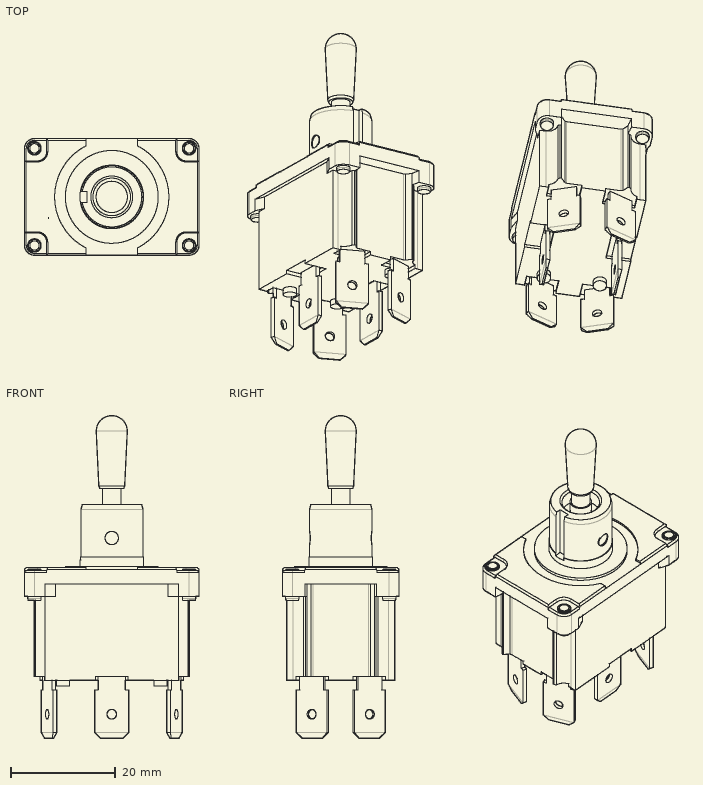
import cadquery as cq
import math


OVERALL_HEIGHT = 61.8

FLANGE_X = 33.5
FLANGE_Y = 22.4
FLANGE_CORNER_RADIUS = 2.0
FLANGE_THICKNESS = 3.15
FLANGE_CHAMFER = 0.37
CORNER_BLOCK_DEPTH = 5.55
BLOCK_FRONT_X = 12.75
BLOCK_FRONT_SLANT_X = 10.75
BLOCK_SIDE_Y = 6.8

CORNER_POCKET_SIZE = 4.5
CORNER_POCKET_RADIUS = 2.0
CORNER_POCKET_DEPTH = 0.55
CORNER_POCKET_TAPER = 20
RECESS_DIAMETER = 21.9
RECESS_STRIP_WIDTH = 9.85
RECESS_DEPTH = 0.37
WASHER_DIAMETER = 17.8
WASHER_TOP_Z = 0.2

RIVET_X = 14.8
RIVET_Y = 9.3
RIVET_DIAMETER = 2.6
RIVET_HEAD_Z = -0.3
RIVET_TIP_DIAMETER = 2.4
RIVET_DIMPLE_DIAMETER = 1.8
RIVET_DIMPLE_DEPTH = 0.22
RIVET_HEAD_BEVEL = 0.15
RIVET_RIM_Z = -CORNER_BLOCK_DEPTH - 0.4
RIVET_END_Z = RIVET_RIM_Z - 0.35

BODY_HALF_X = 14.85
BODY_HALF_Y = 10.35
BODY_BOTTOM_Z = -21.6
RIB_BOTTOM_Z = -20.9
CLEARANCE_X = 14.8
CLEARANCE_Y = 9.15
CLEARANCE_RADIUS = 2.05
RIB_BEVEL_X = 0.25
RIB_BEVEL_START_Y = 6.75
SIDE_RECESS_X = 13.85
SIDE_RECESS_BEVEL_X = 0.1
SIDE_RECESS_RIM_HALF_Y = 6.45
SIDE_RECESS_FOOT_HALF_Y = 5.65
SIDE_RECESS_FLOOR_HALF_Y = 5.3

BUSHING_BASE_DIAMETER = 12.2
BUSHING_DIAMETER = 12.0
BUSHING_BASE_Z = 2.05
BUSHING_TOP_Z = 12.1
BUSHING_CHAMFER_HEIGHT = 0.95
BUSHING_CHAMFER_WIDTH = 0.25
BORE_RIM_DIAMETER = 8.0
BORE_DIAMETER = 7.2
BORE_FLOOR_Z = 9.0
KEYWAY_WIDTH = 2.1
KEYWAY_FLOOR_X = -4.7
KEYWAY_BOTTOM_Z = 1.45
SIDE_HOLE_DIAMETER = 2.55
SIDE_HOLE_Z = 5.65
SIDE_HOLE_FLOOR_Y = 5.7

TIP_RADIUS = 3.0
LEVER_TOP_Z = 29.1
GRIP_BOTTOM_Z = 15.1
GRIP_BOTTOM_DIAMETER = 5.0
GRIP_BEVEL_HEIGHT = 0.5
GRIP_BEVEL_WIDTH = 0.2
NECK_DIAMETER = 3.6
LEVER_BASE_DIAMETER = 4.1
LEVER_BASE_Z = 11.85

TERMINAL_BOTTOM_Z = LEVER_TOP_Z - OVERALL_HEIGHT
TERMINAL_SHOULDER_Z = -23.45
TERMINAL_THICKNESS = 0.8
TERMINAL_CENTER_WIDTH = 6.6
TERMINAL_SIDE_WIDTH = 6.35
TERMINAL_NECK_INSET = 0.7
TERMINAL_TIP_HEIGHT = 1.1
TERMINAL_TIP_INSET = 1.1
TERMINAL_TIP_BEVEL = 0.25
TERMINAL_HOLE_DIAMETER = 1.8
TERMINAL_HOLE_Z = -28.1
TERMINAL_CENTER_Y = 7.0
TERMINAL_SIDE_X = 12.0
TERMINAL_SIDE_Y = 5.45
TERMINAL_SIDE_ANGLE = 21.0
NOTCH_WIDTH = 6.25
NOTCH_INNER_GAP = 1.5

FOOT_DIAMETER = 2.6
FOOT_X = 9.35
FOOT_Y = TERMINAL_SIDE_Y
FOOT_BOTTOM_Z = -22.7

QUADRANTS = [(sx, sy) for sx in (-1, 1) for sy in (-1, 1)]


def in_quadrant(shape, sign_x, sign_y):
    """Mirror a shape made for the +X +Y quadrant into another quadrant."""
    if sign_x < 0:
        shape = shape.mirror("YZ")
    if sign_y < 0:
        shape = shape.mirror("XZ")
    return shape


def slab(x, y, z_low, z_high):
    return cq.Workplane("XY", origin=(0, 0, z_low)).rect(x, y).extrude(z_high - z_low)


def cylinder(diameter, z_low, z_high, x=0, y=0):
    return cq.Workplane("XY", origin=(x, y, z_low)).circle(diameter / 2).extrude(z_high - z_low)


def flange_slab(z_low, z_high):
    return slab(FLANGE_X, FLANGE_Y, z_low, z_high).edges("|Z").fillet(FLANGE_CORNER_RADIUS)


def corner_pocket():
    """Tool for one corner pocket, including the chamfer around the lowered corner."""
    floor_z = -CORNER_POCKET_DEPTH
    spread = CORNER_POCKET_DEPTH * math.tan(math.radians(CORNER_POCKET_TAPER))
    size = 2 * CORNER_POCKET_SIZE
    pocket = (
        cq.Workplane("XY", origin=(FLANGE_X / 2, FLANGE_Y / 2, 0))
        .sketch().rect(size, size).vertices().fillet(CORNER_POCKET_RADIUS).finalize()
        .extrude(-CORNER_POCKET_DEPTH, taper=CORNER_POCKET_TAPER)
    )
    edge_size = size - 2 * spread
    edge = slab(edge_size, edge_size, floor_z - FLANGE_CHAMFER, floor_z)
    edge = edge.translate((FLANGE_X / 2, FLANGE_Y / 2, 0))
    kept = flange_slab(-FLANGE_THICKNESS, floor_z).faces(">Z").chamfer(FLANGE_CHAMFER)
    return pocket.union(edge.cut(kept))


def corner_block():
    outline = (
        cq.Workplane("XY", origin=(0, 0, -CORNER_BLOCK_DEPTH))
        .moveTo(FLANGE_X / 2, FLANGE_Y / 2)
        .lineTo(BLOCK_FRONT_X, FLANGE_Y / 2)
        .lineTo(BLOCK_FRONT_SLANT_X, BODY_HALF_Y)
        .lineTo(BLOCK_FRONT_SLANT_X, SIDE_RECESS_RIM_HALF_Y)
        .lineTo(BODY_HALF_X, SIDE_RECESS_RIM_HALF_Y)
        .lineTo(FLANGE_X / 2, BLOCK_SIDE_Y)
        .close()
    )
    block = outline.extrude(CORNER_BLOCK_DEPTH - FLANGE_THICKNESS)
    return block.intersect(flange_slab(-CORNER_BLOCK_DEPTH, 0))


def make_flange():
    flange = flange_slab(-FLANGE_THICKNESS, 0).faces(">Z").chamfer(FLANGE_CHAMFER)
    pocket = corner_pocket()
    block = corner_block()
    for sign_x, sign_y in QUADRANTS:
        flange = flange.cut(in_quadrant(pocket, sign_x, sign_y))
        flange = flange.union(in_quadrant(block, sign_x, sign_y))
    recess = cylinder(RECESS_DIAMETER, -RECESS_DEPTH, 0)
    recess = recess.union(slab(RECESS_STRIP_WIDTH, FLANGE_Y, -RECESS_DEPTH, 0))
    recess = recess.intersect(flange_slab(-FLANGE_THICKNESS, 0))
    return flange.cut(recess).union(cylinder(WASHER_DIAMETER, -FLANGE_THICKNESS, WASHER_TOP_Z))


def make_rivet():
    """Rivet with a spherical dimple in its bevelled head."""
    radius = RIVET_DIAMETER / 2
    rim = RIVET_DIMPLE_DIAMETER / 2
    sphere_radius = (rim**2 + RIVET_DIMPLE_DEPTH**2) / (2 * RIVET_DIMPLE_DEPTH)
    sphere_center_z = RIVET_HEAD_Z - RIVET_DIMPLE_DEPTH + sphere_radius
    dimple_middle_z = sphere_center_z - math.sqrt(sphere_radius**2 - (rim / 2) ** 2)
    profile = (
        cq.Workplane("XZ")
        .moveTo(0, RIVET_HEAD_Z - RIVET_DIMPLE_DEPTH)
        .threePointArc((rim / 2, dimple_middle_z), (rim, RIVET_HEAD_Z))
        .lineTo(radius - RIVET_HEAD_BEVEL, RIVET_HEAD_Z)
        .lineTo(radius, RIVET_HEAD_Z - RIVET_HEAD_BEVEL)
        .lineTo(radius, RIVET_RIM_Z)
        .lineTo(RIVET_TIP_DIAMETER / 2, RIVET_END_Z)
        .lineTo(0, RIVET_END_Z)
        .close()
    )
    return profile.revolve(360, (0, 0, 0), (0, 1, 0)).translate((RIVET_X, RIVET_Y, 0))


def body_quarter():
    arc_offset = CLEARANCE_RADIUS * math.sqrt(0.5)
    arc_end_x = BODY_HALF_X - RIB_BEVEL_X
    arc_end_y = CLEARANCE_Y - math.sqrt(CLEARANCE_RADIUS**2 - (CLEARANCE_X - arc_end_x) ** 2)
    outline = (
        cq.Workplane("XY", origin=(0, 0, BODY_BOTTOM_Z))
        .moveTo(0, 0)
        .lineTo(0, BODY_HALF_Y)
        .lineTo(CLEARANCE_X - CLEARANCE_RADIUS, BODY_HALF_Y)
        .lineTo(CLEARANCE_X - CLEARANCE_RADIUS, CLEARANCE_Y)
        .threePointArc((CLEARANCE_X - arc_offset, CLEARANCE_Y - arc_offset), (arc_end_x, arc_end_y))
        .lineTo(BODY_HALF_X, RIB_BEVEL_START_Y)
        .lineTo(BODY_HALF_X, SIDE_RECESS_RIM_HALF_Y)
        .lineTo(SIDE_RECESS_X, SIDE_RECESS_FOOT_HALF_Y)
        .lineTo(SIDE_RECESS_X - SIDE_RECESS_BEVEL_X, SIDE_RECESS_FLOOR_HALF_Y)
        .lineTo(SIDE_RECESS_X - SIDE_RECESS_BEVEL_X, 0)
        .close()
    )
    return outline.extrude(-FLANGE_THICKNESS - BODY_BOTTOM_Z)


def make_body():
    quarter = body_quarter()
    body = quarter
    for sign_x, sign_y in QUADRANTS:
        body = body.union(in_quadrant(quarter, sign_x, sign_y))
    body = body.clean()

    height = RIB_BOTTOM_Z - BODY_BOTTOM_Z
    body_y = 2 * BODY_HALF_Y
    under_ribs = slab(2 * BODY_HALF_X, body_y, BODY_BOTTOM_Z, RIB_BOTTOM_Z)
    under_ribs = under_ribs.cut(slab(2 * SIDE_RECESS_X, body_y, BODY_BOTTOM_Z, RIB_BOTTOM_Z))
    body = body.cut(under_ribs)

    front_inner_y = TERMINAL_CENTER_Y - NOTCH_INNER_GAP
    side_inner_x = TERMINAL_SIDE_X - NOTCH_INNER_GAP
    notch_z = BODY_BOTTOM_Z + height / 2
    front_notch = cq.Workplane("XY").box(NOTCH_WIDTH, BODY_HALF_Y - front_inner_y, height)
    front_notch = front_notch.translate((0, (BODY_HALF_Y + front_inner_y) / 2, notch_z))
    side_notch = cq.Workplane("XY").box(BODY_HALF_X - side_inner_x, NOTCH_WIDTH, height)
    side_notch = side_notch.translate(((BODY_HALF_X + side_inner_x) / 2, TERMINAL_SIDE_Y, notch_z))
    foot = cylinder(FOOT_DIAMETER, FOOT_BOTTOM_Z, RIB_BOTTOM_Z, FOOT_X, FOOT_Y)

    for sign_y in (-1, 1):
        body = body.cut(in_quadrant(front_notch, 1, sign_y))
    for sign_x, sign_y in QUADRANTS:
        body = body.cut(in_quadrant(side_notch, sign_x, sign_y))
        body = body.union(in_quadrant(foot, sign_x, sign_y))
    return body


def make_bushing():
    radius = BUSHING_DIAMETER / 2
    bore = BORE_DIAMETER / 2
    bore_rim = BORE_RIM_DIAMETER / 2
    profile = (
        cq.Workplane("XZ")
        .moveTo(0, -FLANGE_THICKNESS)
        .lineTo(BUSHING_BASE_DIAMETER / 2, -FLANGE_THICKNESS)
        .lineTo(BUSHING_BASE_DIAMETER / 2, BUSHING_BASE_Z)
        .lineTo(radius, BUSHING_BASE_Z)
        .lineTo(radius, BUSHING_TOP_Z - BUSHING_CHAMFER_HEIGHT)
        .lineTo(radius - BUSHING_CHAMFER_WIDTH, BUSHING_TOP_Z)
        .lineTo(bore_rim, BUSHING_TOP_Z)
        .lineTo(bore, BUSHING_TOP_Z - (bore_rim - bore))
        .lineTo(bore, BORE_FLOOR_Z)
        .lineTo(0, BORE_FLOOR_Z)
        .close()
    )
    bushing = profile.revolve(360, (0, 0, 0), (0, 1, 0))

    keyway_depth = BUSHING_BASE_DIAMETER / 2 + KEYWAY_FLOOR_X
    keyway = slab(keyway_depth, KEYWAY_WIDTH, KEYWAY_BOTTOM_Z, BUSHING_TOP_Z)
    bushing = bushing.cut(keyway.translate((KEYWAY_FLOOR_X - keyway_depth / 2, 0, 0)))

    for sign_y in (-1, 1):
        hole = (
            cq.Workplane("XZ", origin=(0, sign_y * SIDE_HOLE_FLOOR_Y, SIDE_HOLE_Z))
            .circle(SIDE_HOLE_DIAMETER / 2)
            .extrude(-sign_y * BUSHING_DIAMETER / 2)
        )
        bushing = bushing.cut(hole)
    return bushing


def make_lever():
    """Tapered grip with a ball end on a slim neck."""
    ball_z = LEVER_TOP_Z - TIP_RADIUS
    grip = GRIP_BOTTOM_DIAMETER / 2
    arc_offset = TIP_RADIUS * math.sqrt(0.5)
    profile = (
        cq.Workplane("XZ")
        .moveTo(0, BORE_FLOOR_Z)
        .lineTo(LEVER_BASE_DIAMETER / 2, BORE_FLOOR_Z)
        .lineTo(LEVER_BASE_DIAMETER / 2, LEVER_BASE_Z)
        .lineTo(NECK_DIAMETER / 2, LEVER_BASE_Z)
        .lineTo(NECK_DIAMETER / 2, GRIP_BOTTOM_Z)
        .lineTo(grip - GRIP_BEVEL_WIDTH, GRIP_BOTTOM_Z)
        .lineTo(grip, GRIP_BOTTOM_Z + GRIP_BEVEL_HEIGHT)
        .lineTo(TIP_RADIUS, ball_z)
        .threePointArc((arc_offset, ball_z + arc_offset), (0, LEVER_TOP_Z))
        .close()
    )
    return profile.revolve(360, (0, 0, 0), (0, 1, 0))


def make_terminal(width):
    """Spade terminal in the XZ plane, centred on X = 0 and Y = 0."""
    half = width / 2
    neck = half - TERMINAL_NECK_INSET
    tip = half - TERMINAL_TIP_INSET
    tip_z = TERMINAL_BOTTOM_Z + TERMINAL_TIP_HEIGHT
    top_z = RIB_BOTTOM_Z
    face = [
        (neck, top_z), (neck, TERMINAL_SHOULDER_Z), (half, TERMINAL_SHOULDER_Z),
        (half, tip_z), (tip, TERMINAL_BOTTOM_Z), (-tip, TERMINAL_BOTTOM_Z),
        (-half, tip_z), (-half, TERMINAL_SHOULDER_Z), (-neck, TERMINAL_SHOULDER_Z),
        (-neck, top_z),
    ]
    thick = TERMINAL_THICKNESS / 2
    thin = thick - TERMINAL_TIP_BEVEL
    edge = [
        (thick, top_z), (thick, tip_z), (thin, TERMINAL_BOTTOM_Z),
        (-thin, TERMINAL_BOTTOM_Z), (-thick, tip_z), (-thick, top_z),
    ]
    blade = cq.Workplane("XZ").polyline(face).close().extrude(thick, both=True)
    blade = blade.intersect(cq.Workplane("YZ").polyline(edge).close().extrude(half, both=True))
    hole = cq.Workplane("XZ", origin=(0, 0, TERMINAL_HOLE_Z)).circle(TERMINAL_HOLE_DIAMETER / 2)
    return blade.cut(hole.extrude(thick, both=True))


def add_terminals(part):
    center = make_terminal(TERMINAL_CENTER_WIDTH)
    for sign_y in (-1, 1):
        part = part.union(center.translate((0, sign_y * TERMINAL_CENTER_Y, 0)))
    side = (
        make_terminal(TERMINAL_SIDE_WIDTH)
        .rotate((0, 0, 0), (0, 0, 1), 90 + TERMINAL_SIDE_ANGLE)
        .translate((TERMINAL_SIDE_X, TERMINAL_SIDE_Y, 0))
    )
    for sign_x, sign_y in QUADRANTS:
        part = part.union(in_quadrant(side, sign_x, sign_y))
    return part


switch = make_flange().union(make_body()).union(make_bushing()).union(make_lever())
rivet = make_rivet()
for sign_x, sign_y in QUADRANTS:
    switch = switch.union(in_quadrant(rivet, sign_x, sign_y))
result = add_terminals(switch)